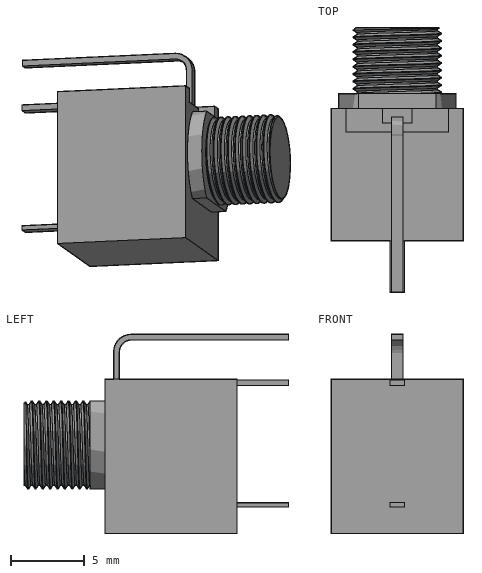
import cadquery as cq
import math


housing_width = 9.0
housing_length = 9.0
housing_height = 10.5
axis_below_top = 4.475

recess_width = 7.0
recess_length = 1.6
recess_depth = 0.95
notch_width = 2.0
notch_length = 1.0
notch_depth = 1.5

flange_diameter = 8.0
flange_height = 6.0
flange_thickness = 1.0
thread_length = 4.5
thread_major_diameter = 6.0
thread_minor_diameter = 5.5
thread_pitch = 0.5
thread_base_width = 0.38
thread_crest_width = 0.05
thread_root_overlap = 0.05
thread_setback = 0.04
thread_end_chamfer = 0.18

lead_length = 3.5
straight_lead_width = 1.0
upper_lead_thickness = 0.4
upper_lead_below_top = 0.05
lower_lead_thickness = 0.3
lower_lead_above_bottom = 1.8
bent_lead_width = 0.8
bent_lead_thickness = 0.4
bent_lead_inner_radius = 0.8
bent_lead_rise = 3.05

housing_top = axis_below_top
housing_bottom = housing_top - housing_height
housing_rear = -housing_length
lead_end = housing_rear - lead_length
notch_floor = housing_top - notch_depth


def make_front_cut(width, length, depth):
    """Block that opens the top front edge of the housing, centred in X."""
    return cq.Workplane("XY").box(width, length, depth, centered=(True, False, False)).translate(
        (0, -length, housing_top - depth)
    )


def make_housing():
    """Box with a wide recess in its top front edge and a deeper notch for the bent lead."""
    block = cq.Workplane("XY").box(
        housing_width, housing_length, housing_height, centered=(True, False, False)
    )
    block = block.translate((0, housing_rear, housing_bottom))
    recess = make_front_cut(recess_width, recess_length, recess_depth)
    notch = make_front_cut(notch_width, notch_length, notch_depth)
    return block.cut(recess).cut(notch)


def make_end_chamfer_cutter(major_radius):
    """Ring with a 45 degree inner cone that bevels the crests at the free end of the rod."""
    inner_radius = major_radius - thread_end_chamfer
    outer_radius = flange_diameter / 2
    ring_bottom = thread_length - (outer_radius - inner_radius)
    ring_top = thread_length + thread_pitch
    return (
        cq.Workplane("XZ")
        .polyline([
            (inner_radius, thread_length),
            (outer_radius, ring_bottom),
            (outer_radius, ring_top),
            (inner_radius, ring_top),
        ])
        .close()
        .revolve(360, (0, 0), (0, 1))
    )


def make_thread():
    """Right-handed threaded rod standing on the local XY plane along +Z."""
    minor_radius = thread_minor_diameter / 2
    major_radius = thread_major_diameter / 2
    root_radius = minor_radius - thread_root_overlap
    flank_slope = (thread_base_width - thread_crest_width) / (major_radius - minor_radius)
    root_width = thread_base_width + flank_slope * thread_root_overlap

    helix_height = thread_length + 2 * thread_pitch
    helix = cq.Wire.makeHelix(thread_pitch, helix_height, root_radius)
    ridge = (
        cq.Workplane("XZ")
        .polyline([
            (root_radius, -root_width / 2),
            (major_radius, -thread_crest_width / 2),
            (major_radius, thread_crest_width / 2),
            (root_radius, root_width / 2),
        ])
        .close()
        .sweep(cq.Workplane(obj=helix), isFrenet=True)
        .translate((0, 0, -thread_pitch - thread_setback))
    )
    envelope = cq.Workplane("XY").circle(flange_diameter / 2).extrude(thread_length)
    core = cq.Workplane("XY").circle(minor_radius).extrude(thread_length)
    rod = core.union(ridge.intersect(envelope))
    return rod.cut(make_end_chamfer_cutter(major_radius))


def make_bushing():
    """Round flange with two flats, carrying the threaded rod on its front."""
    axis_plane = cq.Plane(origin=(0, 0, 0), xDir=(0, 0, 1), normal=(0, 1, 0))
    flange = cq.Workplane(axis_plane).circle(flange_diameter / 2).extrude(flange_thickness)
    flats = cq.Workplane(axis_plane).rect(flange_height, flange_diameter).extrude(flange_thickness)
    thread_plane = cq.Plane(origin=(0, flange_thickness, 0), xDir=(0, 0, 1), normal=(0, 1, 0))
    thread = make_thread().val().moved(cq.Location(thread_plane))
    return flange.intersect(flats).union(cq.Workplane(obj=thread))


def make_straight_lead(thickness, lead_bottom):
    """Flat lead standing out from the rear face of the housing."""
    return cq.Workplane("XY").box(
        straight_lead_width, lead_length, thickness, centered=(True, False, False)
    ).translate((0, lead_end, lead_bottom))


def make_bent_lead():
    """Strip that rises from the notch floor and bends back over the housing."""
    strip_rear = -notch_length
    strip_front = strip_rear + bent_lead_thickness
    strip_top = housing_top + bent_lead_rise
    strip_underside = strip_top - bent_lead_thickness
    outer_radius = bent_lead_inner_radius + bent_lead_thickness
    bend_y = strip_rear - bent_lead_inner_radius
    bend_z = strip_underside - bent_lead_inner_radius
    diagonal = math.sqrt(0.5)
    return (
        cq.Workplane("YZ")
        .moveTo(strip_rear, notch_floor)
        .lineTo(strip_front, notch_floor)
        .lineTo(strip_front, bend_z)
        .threePointArc(
            (bend_y + outer_radius * diagonal, bend_z + outer_radius * diagonal),
            (bend_y, strip_top),
        )
        .lineTo(lead_end, strip_top)
        .lineTo(lead_end, strip_underside)
        .lineTo(bend_y, strip_underside)
        .threePointArc(
            (
                bend_y + bent_lead_inner_radius * diagonal,
                bend_z + bent_lead_inner_radius * diagonal,
            ),
            (strip_rear, bend_z),
        )
        .close()
        .extrude(bent_lead_width / 2, both=True)
    )


housing = make_housing()
bushing = make_bushing()
bent_lead = make_bent_lead()

straight_lead_places = [
    (upper_lead_thickness, housing_top - upper_lead_below_top - upper_lead_thickness),
    (lower_lead_thickness, housing_bottom + lower_lead_above_bottom),
]
straight_leads = [make_straight_lead(thickness, bottom) for thickness, bottom in straight_lead_places]

result = cq.Compound.makeCompound([
    housing.val(),
    bushing.val(),
    bent_lead.val(),
    *[lead.val() for lead in straight_leads],
])